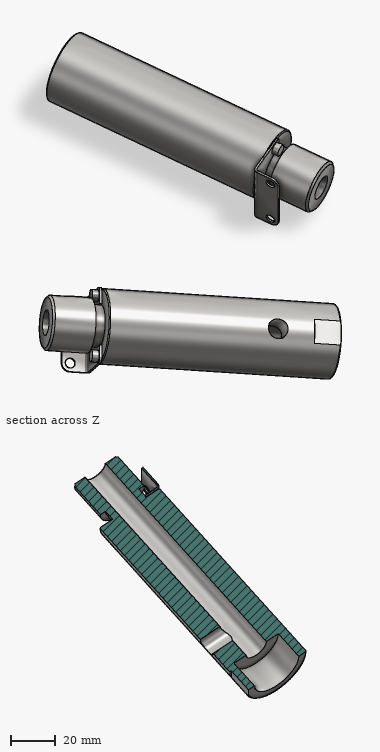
import cadquery as cq


total_length = 133.0
tube_radius = 17.0
tube_length = 108.0
tube_chamfer = 0.5
neck_radius = 9.6
collar_start = 113.0
collar_radius = 12.5
collar_chamfer = 1.0

socket_radius = 12.5
socket_depth = 15.0
bore_radius = 5.7
side_hole_radius = 4.5
side_hole_x = 29.5
flat_length = 12.5
flat_y = 16.1

sheet = 1.0
bracket_height = 35.0
bracket_front_y = -18.0
bracket_back_y = 3.7
bend_radius = 2.0
tab_end = 121.0
tab_corner_radius = 4.0
plate_corner_radius = 2.0

hole_radius = 2.3
hole_inset = 4.0
head_radius = 2.8
head_height = 3.0
head_offset = 14.0

hole_z = bracket_height / 2 - hole_inset
plate_back_x = tube_length + sheet


def x_cylinder(radius, start, end, z=0.0):
    """Cylinder along X between two X positions."""
    return cq.Workplane("YZ", origin=(start, 0, z)).circle(radius).extrude(end - start)


def make_body():
    tube = x_cylinder(tube_radius, 0, tube_length).faces("<X or >X").chamfer(tube_chamfer)
    neck = x_cylinder(neck_radius, tube_length, collar_start)
    collar = x_cylinder(collar_radius, collar_start, total_length).faces(">X").chamfer(collar_chamfer)
    body = tube.union(neck).union(collar)

    body = body.cut(x_cylinder(socket_radius, 0, socket_depth))
    body = body.cut(x_cylinder(bore_radius, 0, total_length))

    side_hole = (
        cq.Workplane("XZ", origin=(side_hole_x, 0, 0))
        .circle(side_hole_radius)
        .extrude(-tube_radius)
    )
    body = body.cut(side_hole)

    flat_cutter = cq.Workplane("XY").box(
        flat_length, tube_radius - flat_y, 2 * tube_radius, centered=(False, False, True)
    ).translate((0, flat_y, 0))
    return body.cut(flat_cutter)


def make_bracket():
    bracket = (
        cq.Workplane("XY", origin=(0, 0, -bracket_height / 2))
        .moveTo(tube_length, bracket_back_y)
        .lineTo(tube_length, bracket_front_y)
        .lineTo(tab_end, bracket_front_y)
        .lineTo(tab_end, bracket_front_y + sheet)
        .lineTo(plate_back_x, bracket_front_y + sheet)
        .lineTo(plate_back_x, bracket_back_y)
        .close()
        .extrude(bracket_height)
    )
    outer_bend = cq.NearestToPointSelector((tube_length, bracket_front_y, 0))
    inner_bend = cq.NearestToPointSelector((plate_back_x, bracket_front_y + sheet, 0))
    bracket = bracket.edges("|Z").edges(outer_bend).fillet(bend_radius)
    bracket = bracket.edges("|Z").edges(inner_bend).fillet(bend_radius - sheet)
    bracket = bracket.faces(">X").edges("|Y").fillet(tab_corner_radius)
    bracket = bracket.faces(">Y").edges("|X").fillet(plate_corner_radius)

    slot_opening = cq.Workplane("XY").box(
        sheet, bracket_back_y, 2 * neck_radius, centered=(False, False, True)
    ).translate((tube_length, 0, 0))
    bracket = bracket.cut(x_cylinder(neck_radius, tube_length, plate_back_x)).cut(slot_opening)

    tab_holes = (
        cq.Workplane("XZ", origin=(tab_end - hole_inset, bracket_front_y, 0))
        .pushPoints([(0, -hole_z), (0, hole_z)])
        .circle(hole_radius)
        .extrude(-sheet)
    )
    bracket = bracket.cut(tab_holes)

    for head_z in (-head_offset, head_offset):
        head = x_cylinder(head_radius, plate_back_x, plate_back_x + head_height, z=head_z)
        bracket = bracket.union(head)
    return bracket


body = make_body().solids()
bracket = make_bracket().solids()

result = cq.Compound.makeCompound([body.val(), bracket.val()])